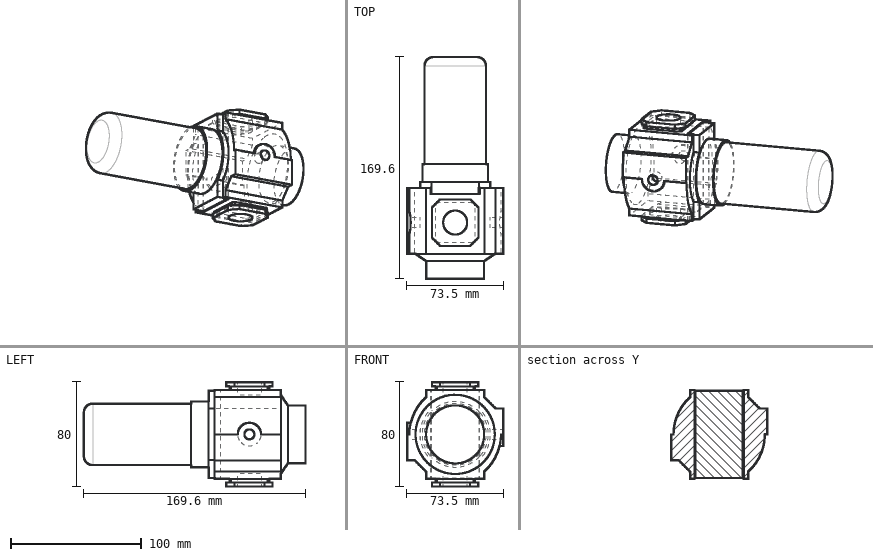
import cadquery as cq
import math


KNOB_FRONT_Y = -43.0
CONE_FRONT_Y = -29.5
BLOCK_FRONT_Y = -24.0
SLOT_FLOOR_Y = 22.0
BLOCK_BACK_Y = 26.5
PLATE_BACK_Y = 31.1
COLLAR_BACK_Y = 44.6
BOWL_END_Y = 126.6

BLOCK_HALF_HEIGHT = 34.0
BLOCK_HALF_WIDTH = 36.75
NECK_HALF_WIDTH = 22.25
SHOULDER_Z = 28.5
EAR_Z = 19.8
EAR_X = NECK_HALF_WIDTH + SHOULDER_Z - EAR_Z
ROUND_SIDE_X = 35.0

CONE_RADIUS = 30.3
KNOB_RADIUS = 22.2

FLANGE_FACE_Z = 40.0
FLANGE_THICKNESS = 3.4
FLANGE_WIDTH = 35.6
FLANGE_CORNER = 6.3
FLANGE_NECK_WIDTH = 30.4
FLANGE_NECK_CORNER = 1.2
PORT_RADIUS = 9.2
PORT_DEPTH = 10.0

BOSS_RADIUS = 8.9
BOSS_HOLE_RADIUS = 3.8
BOSS_HOLE_DEPTH = 10.0

PLATE_WIDTH = 36.2
PLATE_HALF_HEIGHT = 33.5
SLOT_SIDE_GAP = 0.6
DISC_RADIUS = 26.8
COLLAR_RADIUS = 25.2
TUBE_RADIUS = 23.6
TUBE_END_FILLET = 7.0


def y_cylinder(radius, y_start, y_end):
    """Cylinder on the Y axis between two stations."""
    return cq.Workplane("XZ", origin=(0, y_start, 0)).circle(radius).extrude(y_start - y_end)


def y_box(width, height, y_start, y_end):
    """Box centred on the Y axis between two stations."""
    return cq.Workplane("XZ", origin=(0, y_start, 0)).rect(width, height).extrude(y_start - y_end)


def round_side_midpoint():
    """Middle of the arc that leaves (ROUND_SIDE_X, 0) upright and ends at the shoulder corner."""
    run = ROUND_SIDE_X - NECK_HALF_WIDTH
    radius = (run**2 + SHOULDER_Z**2) / (2 * run)
    half_angle = math.asin(SHOULDER_Z / radius) / 2
    x = ROUND_SIDE_X - radius * (1 - math.cos(half_angle))
    return x, radius * math.sin(half_angle)


def make_block():
    """Prism with an ear and a rounded side on each flank, alike after half a turn about Y."""
    mid_x, mid_z = round_side_midpoint()
    profile = cq.Workplane("XZ", origin=(0, BLOCK_BACK_Y, 0)).moveTo(-NECK_HALF_WIDTH, BLOCK_HALF_HEIGHT)
    for side in (1, -1):
        profile = (
            profile.lineTo(side * NECK_HALF_WIDTH, side * BLOCK_HALF_HEIGHT)
            .lineTo(side * NECK_HALF_WIDTH, side * SHOULDER_Z)
            .lineTo(side * EAR_X, side * EAR_Z)
            .lineTo(side * BLOCK_HALF_WIDTH, side * EAR_Z)
            .lineTo(side * BLOCK_HALF_WIDTH, 0)
            .lineTo(side * ROUND_SIDE_X, 0)
            .threePointArc(
                (side * mid_x, -side * mid_z),
                (side * NECK_HALF_WIDTH, -side * SHOULDER_Z),
            )
            .lineTo(side * NECK_HALF_WIDTH, -side * BLOCK_HALF_HEIGHT)
        )
    return profile.close().extrude(BLOCK_BACK_Y - BLOCK_FRONT_Y)


def make_nose():
    """Cone narrowing from the block face to the knob, and the knob itself."""
    return (
        cq.Workplane("XY")
        .moveTo(0, BLOCK_FRONT_Y)
        .lineTo(CONE_RADIUS, BLOCK_FRONT_Y)
        .lineTo(KNOB_RADIUS, CONE_FRONT_Y)
        .lineTo(KNOB_RADIUS, KNOB_FRONT_Y)
        .lineTo(0, KNOB_FRONT_Y)
        .close()
        .revolve(360, (0, 0, 0), (0, 1, 0))
    )


def chamfered_square(width, corner, z_start, z_end):
    """Square plate about the Z axis with its four upright edges cut off."""
    plate = cq.Workplane("XY", origin=(0, 0, z_start)).rect(width, width).extrude(z_end - z_start)
    return plate.edges("|Z").chamfer(corner)


def add_port(housing, side):
    """Flange on its neck, with a blind port, on the top (side 1) or bottom (side -1)."""
    flange_back_z = FLANGE_FACE_Z - FLANGE_THICKNESS
    neck = chamfered_square(
        FLANGE_NECK_WIDTH, FLANGE_NECK_CORNER, side * BLOCK_HALF_HEIGHT, side * flange_back_z
    )
    flange = chamfered_square(FLANGE_WIDTH, FLANGE_CORNER, side * flange_back_z, side * FLANGE_FACE_Z)
    port = (
        cq.Workplane("XY", origin=(0, 0, side * FLANGE_FACE_Z))
        .circle(PORT_RADIUS)
        .extrude(-side * PORT_DEPTH)
    )
    return housing.union(neck).union(flange).cut(port)


def add_gauge_boss(housing, side):
    """Round boss flush with the ear face, with a blind hole, on the +X or -X flank."""
    face = cq.Workplane("YZ", origin=(side * BLOCK_HALF_WIDTH, 0, 0))
    boss = face.circle(BOSS_RADIUS).extrude(side * (NECK_HALF_WIDTH - BLOCK_HALF_WIDTH))
    hole = face.circle(BOSS_HOLE_RADIUS).extrude(-side * BOSS_HOLE_DEPTH)
    return housing.union(boss).cut(hole)


def make_housing():
    """Block, nose, ports and bosses, slotted across the back for the bowl plate."""
    housing = make_block().union(make_nose())
    for side in (1, -1):
        housing = add_port(housing, side)
        housing = add_gauge_boss(housing, side)
    slot_width = PLATE_WIDTH + 2 * SLOT_SIDE_GAP
    return housing.cut(y_box(slot_width, 2 * BLOCK_HALF_HEIGHT, SLOT_FLOOR_Y, BLOCK_BACK_Y))


def make_bowl():
    """Bowl tube with its stepped collar and the plate that sits in the housing slot."""
    plate = y_box(PLATE_WIDTH, 2 * PLATE_HALF_HEIGHT, SLOT_FLOOR_Y, PLATE_BACK_Y)
    disc = y_cylinder(DISC_RADIUS, BLOCK_BACK_Y, PLATE_BACK_Y)
    collar = y_cylinder(COLLAR_RADIUS, PLATE_BACK_Y, COLLAR_BACK_Y)
    tube = y_cylinder(TUBE_RADIUS, COLLAR_BACK_Y, BOWL_END_Y).faces(">Y").edges().fillet(TUBE_END_FILLET)
    return plate.union(disc).union(collar).union(tube)


housing = make_housing()
bowl = make_bowl()

result = cq.Compound.makeCompound([housing.val(), bowl.val()])